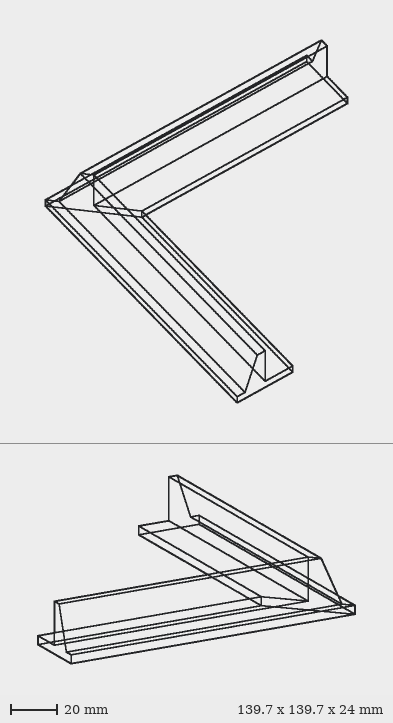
import cadquery as cq

frame_length = 139.7
base_width = 29.8
base_thickness = 4.0
total_height = 24.0
ledge_width = 4.2
web_lean = 6.5
web_top_width = 4.2

web_top_outer = ledge_width + web_lean
web_top_inner = web_top_outer + web_top_width


def bar_profile():
    """Section across the X bar: a flat base with a web, sloped outside and upright inside."""
    return (
        cq.Workplane("YZ")
        .moveTo(0, 0)
        .lineTo(base_width, 0)
        .lineTo(base_width, base_thickness)
        .lineTo(web_top_inner, base_thickness)
        .lineTo(web_top_inner, total_height)
        .lineTo(web_top_outer, total_height)
        .lineTo(ledge_width, base_thickness)
        .lineTo(0, base_thickness)
        .close()
    )


def mitre_wedge():
    """Triangular prism on the X side of the 45 degree mitre plane."""
    return (
        cq.Workplane("XY")
        .moveTo(0, 0)
        .lineTo(frame_length, 0)
        .lineTo(frame_length, frame_length)
        .close()
        .extrude(total_height)
    )


def mitred_bar():
    """Bar along X with its corner end cut at 45 degrees."""
    return bar_profile().extrude(frame_length).intersect(mitre_wedge())


def mirror_across_mitre(bar):
    """Mirror image in the plane X = Y, which turns the X bar into the Y bar."""
    return bar.mirror("XZ").rotate((0, 0, 0), (0, 0, 1), 90)


x_bar = mitred_bar()
y_bar = mirror_across_mitre(x_bar)

result = cq.Compound.makeCompound([x_bar.val(), y_bar.val()])